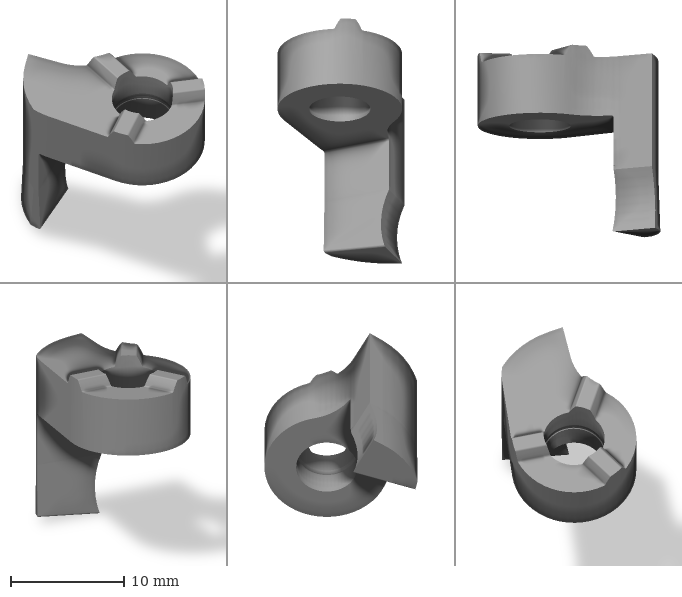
import cadquery as cq
import math


ring_radius = 5.496
bore_diameter = 5.4
plate_thickness = 5.3
groove_top = -2.21
groove_taper_height = 0.39
groove_wall_height = 0.27
groove_depth = 0.1

back_y = 1.55
neck_radius = 5.0
front_slope = 5.1
nose_radius = 6.0
nose_start_slope = 19.1
nose_end_x = -7.1
end_face_radius = 8.0
end_back_x = -11.33
end_tangent_x = -11.13
end_tangent_y = 0.2

column_back_x = -7.68
column_front_x = -8.02
corner_radius = 0.2

tooth_count = 3
tooth_first_angle = 30
tooth_spacing = 360 / tooth_count
tooth_height = 1.0
tooth_top_half = 0.66
tooth_base_half = 1.22
tooth_bulge = 0.05
tooth_round = 0.19

joint_z = -9.8
flare_z = -10.18
tip_bottom_z = -15.7
tip_edge_y = 1.25
tip_front_z = -15.07
flare_back = 0.2
flare_front_x = 0.37
flare_front_y = 0.15
flare_inner = 0.27
flare_nose = 0.2
rake_depth_y = 0.83
rake_middle_z = -13.34
inner_corner_round = 0.15
clearance = 33.98


def on_circle(center, radius, degrees):
    """Point of a circle at an angle from +X."""
    angle = math.radians(degrees)
    return (center[0] + radius * math.cos(angle), center[1] + radius * math.sin(angle))


def arc_middle(start, end, radius):
    """Middle of the minor arc that bulges to the right of start -> end."""
    dx = end[0] - start[0]
    dy = end[1] - start[1]
    chord = math.hypot(dx, dy)
    sag = radius - math.sqrt(radius**2 - chord**2 / 4)
    return ((start[0] + end[0]) / 2 + sag * dy / chord, (start[1] + end[1]) / 2 - sag * dx / chord)


front_normal = 270 - front_slope
front_tangent = on_circle((0, 0), ring_radius, front_normal)
nose_end = (
    nose_end_x,
    front_tangent[1] + (front_tangent[0] - nose_end_x) * math.tan(math.radians(front_slope)),
)
nose_center = on_circle(nose_end, -nose_radius, front_normal)
nose_start = on_circle(nose_center, nose_radius, 270 - nose_start_slope)
nose_middle = on_circle(nose_center, nose_radius, 270 - (nose_start_slope + front_slope) / 2)
neck_center_y = back_y + neck_radius
neck_center = (-math.sqrt((ring_radius + neck_radius)**2 - neck_center_y**2), neck_center_y)
neck_angle = math.degrees(math.atan2(neck_center[1], neck_center[0]))
ring_start = on_circle((0, 0), ring_radius, neck_angle)
neck_start = (neck_center[0], back_y)
neck_middle = on_circle(neck_center, neck_radius, (270 + neck_angle + 180) / 2)
end_back = (end_back_x, back_y)
end_tangent = (end_tangent_x, end_tangent_y)


def nose_point(x):
    """Point of the nose arc at a given X."""
    dx = x - nose_center[0]
    return (x, nose_center[1] - math.sqrt(nose_radius**2 - dx**2))


def outline_prism(z_top, height):
    return (
        cq.Workplane("XY", origin=(0, 0, z_top))
        .moveTo(*end_back)
        .lineTo(*end_tangent)
        .threePointArc(arc_middle(end_tangent, nose_start, end_face_radius), nose_start)
        .threePointArc(nose_middle, nose_end)
        .lineTo(*front_tangent)
        .threePointArc((ring_radius, 0), ring_start)
        .threePointArc(neck_middle, neck_start)
        .close()
        .extrude(-height)
    )


def under_arm_cutter():
    """Space beside the column, rounded where it meets the underside."""
    slope = (column_back_x - column_front_x) / (back_y - nose_point(column_front_x)[1])
    near_x = column_back_x - slope * (clearance + back_y)
    far_x = column_back_x + slope * (clearance - back_y)
    return (
        cq.Workplane("XY", origin=(0, 0, -plate_thickness))
        .polyline([(near_x, -clearance), (clearance, -clearance), (clearance, clearance), (far_x, clearance)])
        .close()
        .extrude(-clearance)
        .faces("<X")
        .edges(">Z")
        .fillet(corner_radius)
    )


def tooth(angle):
    """Radial ridge on a footing sunk into the plate, with rounded crest and roots."""
    footing_half = 2 * tooth_base_half
    flank_x = (tooth_top_half + tooth_base_half) / 2 + tooth_bulge
    footing_edges = cq.selectors.BoxSelector(
        (-tooth_base_half - 0.17, -clearance, -0.17), (tooth_base_half + 0.17, 0, tooth_height + 0.17)
    )
    ridge = (
        cq.Workplane("XZ")
        .moveTo(-footing_half, -tooth_height)
        .lineTo(footing_half, -tooth_height)
        .lineTo(footing_half, 0)
        .lineTo(tooth_base_half, 0)
        .threePointArc((flank_x, tooth_height / 2), (tooth_top_half, tooth_height))
        .lineTo(-tooth_top_half, tooth_height)
        .threePointArc((-flank_x, tooth_height / 2), (-tooth_base_half, 0))
        .lineTo(-footing_half, 0)
        .close()
        .extrude(ring_radius + tooth_height)
        .edges("|Y")
        .edges(footing_edges)
        .fillet(tooth_round)
    )
    return ridge.rotate((0, 0, 0), (0, 0, 1), angle + 90)


def groove():
    """Ring groove in the bore: flares downward, then ends on a small step."""
    groove_radius = bore_diameter / 2 + groove_depth
    wall_top = groove_top - groove_taper_height
    floor = wall_top - groove_wall_height
    return (
        cq.Workplane("XZ")
        .polyline([(0, groove_top), (bore_diameter / 2, groove_top), (groove_radius, wall_top),
                   (groove_radius, floor), (0, floor)])
        .close()
        .revolve(360, (0, 0, 0), (0, 1, 0))
    )


def make_holder():
    """Ring with its arm, column, teeth and grooved bore."""
    body = outline_prism(0, -joint_z).cut(under_arm_cutter())
    tooth_limit = outline_prism(tooth_height, 2 * tooth_height)
    for index in range(tooth_count):
        body = body.union(tooth(tooth_first_angle + index * tooth_spacing).intersect(tooth_limit))
    bore = cq.Workplane("XY", origin=(0, 0, -plate_thickness)).circle(bore_diameter / 2)
    return body.cut(bore.extrude(plate_thickness + tooth_height)).cut(groove())


def tip_section(workplane, back, tangent, front, inner_front, inner_back, nose_mid):
    return (
        workplane.moveTo(*back)
        .lineTo(*tangent)
        .threePointArc(arc_middle(tangent, front, end_face_radius), front)
        .threePointArc(nose_mid, inner_front)
        .lineTo(*inner_back)
        .close()
    )


def make_tip():
    """Cutting tip: straight shank, flared blade, hollow rake face, sloping bottom."""
    inner_front = nose_point(column_front_x)
    nose_mid = nose_point((nose_start[0] + column_front_x) / 2)
    upper = (end_back, end_tangent, nose_start, inner_front, (column_back_x, back_y), nose_mid)
    lower_front = (nose_start[0] - flare_front_x, nose_start[1] + flare_front_y)
    lower_inner = (inner_front[0] + flare_nose, inner_front[1])
    lower = (
        (end_back_x - flare_back, back_y),
        (end_tangent_x - flare_back, end_tangent_y),
        lower_front,
        lower_inner,
        (column_back_x + flare_inner, back_y),
        arc_middle(lower_front, lower_inner, nose_radius),
    )
    shank = tip_section(cq.Workplane("XY", origin=(0, 0, joint_z)), *upper).extrude(flare_z - joint_z)
    blade = tip_section(cq.Workplane("XY", origin=(0, 0, flare_z)), *upper)
    blade = tip_section(blade.workplane(offset=tip_bottom_z - flare_z), *lower).loft(ruled=True, combine=True)

    rake = (
        cq.Workplane("YZ", origin=(-clearance, 0, 0))
        .moveTo(back_y, flare_z)
        .threePointArc((rake_depth_y, rake_middle_z), (tip_edge_y, tip_bottom_z))
        .lineTo(clearance, tip_bottom_z)
        .lineTo(clearance, flare_z)
        .close()
        .extrude(clearance)
    )
    relief = (
        cq.Workplane("YZ", origin=(-clearance, 0, 0))
        .polyline([(tip_edge_y, tip_bottom_z), (inner_front[1], tip_front_z),
                   (inner_front[1] - 0.17, tip_front_z), (inner_front[1] - 0.17, tip_bottom_z)])
        .close()
        .extrude(clearance)
    )
    body = shank.union(blade).cut(rake).cut(relief)
    edge_middle_y = (tip_edge_y + inner_front[1]) / 2
    bottom_z = (tip_bottom_z + tip_front_z) / 2
    inner_corner = cq.selectors.NearestToPointSelector((column_back_x, edge_middle_y, bottom_z))
    return body.edges(inner_corner).fillet(inner_corner_round)


holder = make_holder()
tip = make_tip()
result = cq.Compound.makeCompound([holder.val(), tip.val()])